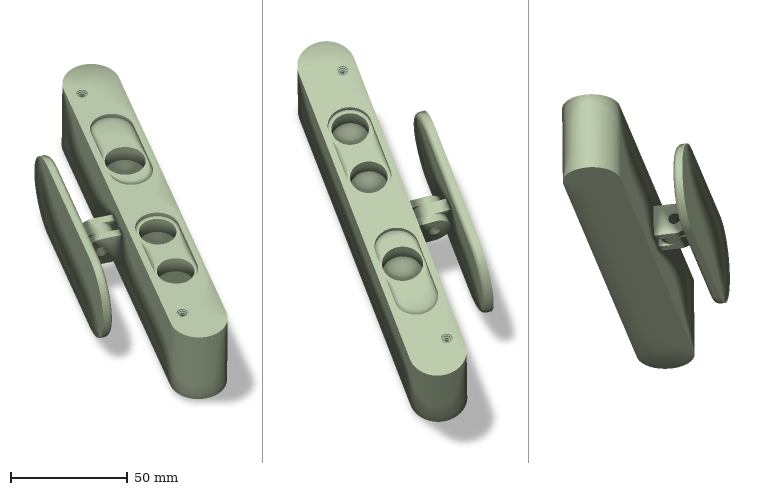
import cadquery as cq


housing_length = 180.0
housing_depth = 25.0
housing_height = 36.0
housing_gap = 9.0
housing_tilt = -0.5
housing_middle_y = housing_gap + housing_depth / 2
housing_top = housing_height / 2

recess_length = 46.0
recess_width = 19.0
recess_depth = 2.0
well_depth = 7.5
single_recess_x = -34.0
single_well_x = -28.6
single_well_diameter = 17.6
double_recess_x = 31.3
double_well_spacing = 26.1
double_well_diameter = 16.2

screw_offset_x = 72.5
screw_y = housing_middle_y - 5.8
screw_bores = (
    (5.0, 0.5),
    (4.0, 1.0),
    (2.2, 1.6),
    (1.0, 2.2),
)

hinge_height = 14.5
hinge_width = 13.5
tongue_width = 6.0
pin_hole_diameter = 5.2
lug_width = (hinge_width - tongue_width) / 2
tongue_flat_end_y = 2.5
tongue_tip_y = 8.8

plate_length = 100.0
plate_height = 40.0
plate_thickness = 4.3
plate_gap = 8.3
plate_rounding = 2.2


def cylinder_along_x(diameter, length):
    """Cylinder on the hinge axis, centred on the YZ plane."""
    return cq.Workplane("YZ").circle(diameter / 2).extrude(length / 2, both=True)


def pocket(x, length, width, top, depth):
    """Oblong cutter sunk down from the given height, on the housing's centre line."""
    return (
        cq.Workplane("XY", origin=(x, housing_middle_y, top))
        .slot2D(length, width)
        .extrude(-depth)
    )


def bore(x, y, diameter, top, depth):
    """Round cutter sunk down from the given height."""
    return cq.Workplane("XY", origin=(x, y, top)).circle(diameter / 2).extrude(-depth)


def make_lug(middle_x):
    """Fork lug: straight from the housing to the hinge axis, then a half-round tip."""
    radius = hinge_height / 2
    return (
        cq.Workplane("YZ", origin=(middle_x - lug_width / 2, 0, 0))
        .moveTo(housing_gap, radius)
        .lineTo(0, radius)
        .threePointArc((-radius, 0), (0, -radius))
        .lineTo(housing_gap, -radius)
        .close()
        .extrude(lug_width)
    )


def make_housing():
    body = (
        cq.Workplane("XY", origin=(0, housing_middle_y, -housing_top))
        .slot2D(housing_length, housing_depth)
        .extrude(housing_height)
    )

    recess_floor = housing_top - recess_depth
    for recess_x in (single_recess_x, double_recess_x):
        body = body.cut(pocket(recess_x, recess_length, recess_width, housing_top, recess_depth))

    wells = [(single_well_x, single_well_diameter)]
    for side in (-1, 1):
        wells.append((double_recess_x + side * double_well_spacing / 2, double_well_diameter))
    for well_x, diameter in wells:
        body = body.cut(bore(well_x, housing_middle_y, diameter, recess_floor, well_depth))

    for side in (-1, 1):
        screw_x = side * screw_offset_x
        for diameter, depth in screw_bores:
            body = body.cut(bore(screw_x, screw_y, diameter, housing_top, depth))

    for side in (-1, 1):
        body = body.union(make_lug(side * (tongue_width + lug_width) / 2))
    body = body.cut(cylinder_along_x(pin_hole_diameter, hinge_width))

    return body.rotate((0, 0, 0), (1, 0, 0), housing_tilt)


def make_tongue():
    """Plate tongue: a flat bar ended by an arc that nearly reaches the housing."""
    half_height = hinge_height / 2
    return (
        cq.Workplane("YZ")
        .moveTo(-plate_gap, half_height)
        .lineTo(tongue_flat_end_y, half_height)
        .threePointArc((tongue_tip_y, 0), (tongue_flat_end_y, -half_height))
        .lineTo(-plate_gap, -half_height)
        .close()
        .extrude(tongue_width / 2, both=True)
        .cut(cylinder_along_x(pin_hole_diameter, tongue_width))
    )


def make_plate():
    disc = (
        cq.Workplane("XZ", origin=(0, -plate_gap, 0))
        .slot2D(plate_length, plate_height)
        .extrude(plate_thickness)
        .faces(">Y")
        .edges()
        .fillet(plate_rounding)
    )
    return disc.union(make_tongue())


housing = make_housing()
plate = make_plate()

result = cq.Compound.makeCompound([housing.val(), plate.val()])